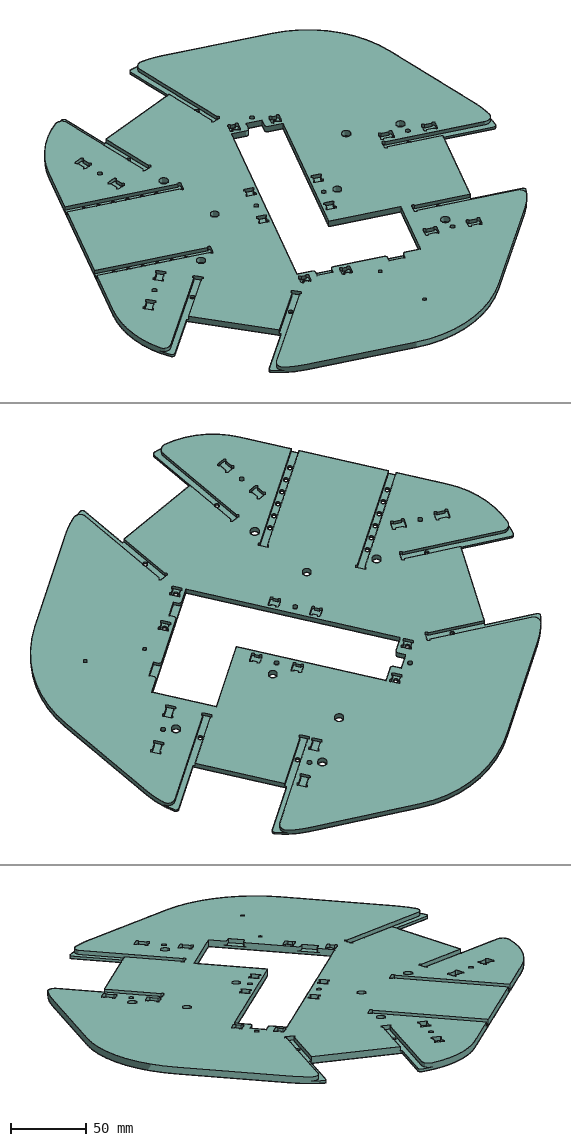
import cadquery as cq
import math

THICKNESS = 5.0
RECESS_DEPTH = 3.0
CUT_HEIGHT = 2 * THICKNESS

SIDE_DISTANCE = 162.8
CORNER_RADIUS = 80.0
SIDE_OVERRUN = 29.3
SHOULDER_RADIUS = 65.0
FRONT_DISTANCE = 135.8
FRONT_HALF_LENGTH = 72.0
FRONT_RADIUS = 66.5
LEDGE_TIP_RADIUS = 2.0
UPPER_TIP_RADIUS = 5.0

NOTCH_ANGLES = (90, 210, 330)
NOTCH_FLOOR = 125.7
NOTCH_HALF_WIDTH = 32.2

SLOT_OFFSET = 33.5
SLOT_WIDTH = 5.2
ARM_SLOT_START = 85.0
FRONT_SLOT_START = 55.0
RELIEF_RADIUS = 1.0

BOLT_DIAMETER = 6.2
HUB_BOLT_DIAMETER = 6.0
SCREW_DIAMETER = 3.2
TAB_SCREW_DIAMETER = 3.3
WIRE_DIAMETER = 2.5
REAR_BOLT = (50.5, 102.2)
FRONT_BOLT = (42.0, -65.0)
LEFT_BOLT = (-51.8, 64.8)
HUB_BOLT_Y = 42.5
WIRE_HOLES = ((123.0, 65.5), (87.5, 45.5))
ARM_SCREW_DISTANCE = 103.0
FRONT_SCREW_START = 72.5
FRONT_SCREW_SPAN = 50.0
FRONT_SCREW_COUNT = 6

WINDOW_HALF_LENGTH = 74.0
WINDOW_BOTTOM = -8.0
WINDOW_TOP = 27.7
WINDOW_LEG_LEFT = 29.3
WINDOW_LEG_TOP = 77.8
WINDOW_MIDDLE = (WINDOW_BOTTOM + WINDOW_TOP) / 2
CONNECTOR_HEIGHT = 11.0
MOUTH_RADIUS = 2.0
LEFT_CONNECTOR_REACH = 7.0
RIGHT_CONNECTOR_REACH = 5.2
UPPER_CONNECTOR_Y = 60.0

TAB_WIDTH = SLOT_WIDTH
LONG_TAB = 9.5
SHORT_TAB = 7.0


def polar(center, radius, angle):
    """Point at the given angle in degrees on a circle."""
    a = math.radians(angle)
    return (center[0] + radius * math.cos(a), center[1] + radius * math.sin(a))


def mirrored(point):
    return (-point[0], point[1])


def outline():
    """Closed outer boundary; its short straight closures lie inside the notches."""
    corner = polar((0, 0), (SIDE_DISTANCE - CORNER_RADIUS) / math.cos(math.radians(30)), 30)
    side_shoulder = (SIDE_DISTANCE - SHOULDER_RADIUS, -SIDE_OVERRUN)
    shoulder_length = math.hypot(*side_shoulder)
    shoulder_angle = math.degrees(math.atan2(side_shoulder[1], side_shoulder[0]))
    rear_shoulder = polar((0, 0), shoulder_length, 60 - shoulder_angle)
    front = (FRONT_HALF_LENGTH, FRONT_RADIUS - FRONT_DISTANCE)

    arcs = (
        (front, FRONT_RADIUS, -90, -35),
        (side_shoulder, SHOULDER_RADIUS, -25, 0),
        (corner, CORNER_RADIUS, 0, 60),
        (rear_shoulder, SHOULDER_RADIUS, 60, 85),
    )
    right_side = []
    for center, radius, start, end in arcs:
        right_side.append([polar(center, radius, a) for a in (start, (start + end) / 2, end)])
    left_side = [[mirrored(p) for p in reversed(arc)] for arc in reversed(right_side)]

    path = cq.Workplane("XY").moveTo(*left_side[-1][-1])
    for start, middle, end in right_side + left_side:
        path = path.lineTo(*start).threePointArc(middle, end)
    return path.close()


def arm_gaps(half_width):
    """Gaps of the given half width outside the notch floors, one about each notch axis."""
    gap = (
        cq.Workplane("XY")
        .center(NOTCH_FLOOR + SIDE_DISTANCE / 2, 0)
        .rect(SIDE_DISTANCE, 2 * half_width)
        .extrude(CUT_HEIGHT)
    )
    gaps = cq.Workplane("XY")
    for angle in NOTCH_ANGLES:
        gaps = gaps.union(gap.rotate((0, 0, 0), (0, 0, 1), angle))
    return gaps


def layer(height, gap_half_width, tip_radius):
    """Outline with notches of the given width and rounded wing tips."""
    clear_of_floor = NOTCH_FLOOR + 3.3
    tolerance = 0.03

    def is_tip(edge):
        center = edge.Center()
        for angle in NOTCH_ANGLES:
            a = math.radians(angle)
            along = center.x * math.cos(a) + center.y * math.sin(a)
            across = center.y * math.cos(a) - center.x * math.sin(a)
            if along > clear_of_floor and abs(abs(across) - gap_half_width) < tolerance:
                return True
        return False

    body = outline().extrude(height).cut(arm_gaps(gap_half_width))
    return body.edges("|Z").filter(is_tip).fillet(tip_radius)


def plate():
    """Plate whose notch edges carry a ledge at slot-floor level."""
    ledge_height = THICKNESS - RECESS_DEPTH
    lower = layer(ledge_height, NOTCH_HALF_WIDTH, LEDGE_TIP_RADIUS)
    upper = layer(RECESS_DEPTH, SLOT_OFFSET + SLOT_WIDTH / 2, UPPER_TIP_RADIUS)
    return lower.union(upper.translate((0, 0, ledge_height)))


def tab_pocket(length, ends=(-1, 1)):
    """Cutter along X, centred on the origin, with round corner reliefs at the chosen ends."""
    cutter = cq.Workplane("XY").rect(length, TAB_WIDTH).extrude(CUT_HEIGHT)
    reliefs = [
        (end * (length / 2 - RELIEF_RADIUS), side * TAB_WIDTH / 2)
        for end in ends
        for side in (-1, 1)
    ]
    return cutter.union(
        cq.Workplane("XY").pushPoints(reliefs).circle(RELIEF_RADIUS).extrude(CUT_HEIGHT)
    )


def recess(body, cutter, point=(0, 0), angle=0):
    """Sink a cutter into the top face after turning it and moving it to a point."""
    turned = cutter.rotate((0, 0, 0), (0, 0, 1), angle)
    return body.cut(turned.translate((*point, THICKNESS - RECESS_DEPTH)))


def drill(body, diameter, points):
    return body.cut(cq.Workplane("XY").pushPoints(points).circle(diameter / 2).extrude(CUT_HEIGHT))


def both_sides(points):
    return list(points) + [mirrored(p) for p in points]


def slots(body):
    """Long slots running outwards, a pair beside each notch and a pair at the front."""
    length = SIDE_DISTANCE
    slot = tab_pocket(length, ends=(-1,))
    runs = [(angle, ARM_SLOT_START) for angle in NOTCH_ANGLES] + [(270, FRONT_SLOT_START)]
    for angle, start in runs:
        for side in (-1, 1):
            placed = slot.translate((start + length / 2, side * SLOT_OFFSET, 0))
            body = recess(body, placed, angle=angle)
    return body


def slot_screws(body):
    """Screw holes through the slot floors."""
    arm_radius = math.hypot(ARM_SCREW_DISTANCE, SLOT_OFFSET)
    arm_turn = math.degrees(math.atan2(SLOT_OFFSET, ARM_SCREW_DISTANCE))
    arm_points = [
        polar((0, 0), arm_radius, angle + turn)
        for angle in NOTCH_ANGLES
        for turn in (-arm_turn, arm_turn)
    ]
    pitch = FRONT_SCREW_SPAN / (FRONT_SCREW_COUNT - 1)
    front_points = [(SLOT_OFFSET, -FRONT_SCREW_START - i * pitch) for i in range(FRONT_SCREW_COUNT)]
    return drill(body, SCREW_DIAMETER, arm_points + both_sides(front_points))


def window(body):
    """L-shaped opening; its leg runs rearwards along the right end."""
    profile = [
        (-WINDOW_HALF_LENGTH, WINDOW_BOTTOM),
        (WINDOW_HALF_LENGTH, WINDOW_BOTTOM),
        (WINDOW_HALF_LENGTH, WINDOW_LEG_TOP),
        (WINDOW_LEG_LEFT, WINDOW_LEG_TOP),
        (WINDOW_LEG_LEFT, WINDOW_TOP),
        (-WINDOW_HALF_LENGTH, WINDOW_TOP),
    ]
    return body.cut(cq.Workplane("XY").polyline(profile).close().extrude(CUT_HEIGHT))


def connector_notch(reach):
    """Notch cutter reaching along +X from x = 0, with a rounded mouth."""
    half = CONNECTOR_HEIGHT / 2
    mouth = half + MOUTH_RADIUS
    upper_round = polar((MOUTH_RADIUS, mouth), MOUTH_RADIUS, 225)
    lower_round = (upper_round[0], -upper_round[1])
    return (
        cq.Workplane("XY")
        .moveTo(-MOUTH_RADIUS, -mouth)
        .lineTo(0, -mouth)
        .threePointArc(lower_round, (MOUTH_RADIUS, -half))
        .lineTo(reach, -half)
        .lineTo(reach, half)
        .lineTo(MOUTH_RADIUS, half)
        .threePointArc(upper_round, (0, mouth))
        .lineTo(-MOUTH_RADIUS, mouth)
        .close()
        .extrude(CUT_HEIGHT)
    )


def connectors(body):
    """A through notch at the left end of the window and two blind ones at the right."""
    left = connector_notch(LEFT_CONNECTOR_REACH).rotate((0, 0, 0), (0, 0, 1), 180)
    body = body.cut(left.translate((-WINDOW_HALF_LENGTH, WINDOW_MIDDLE, 0)))
    right = connector_notch(RIGHT_CONNECTOR_REACH)
    for y in (WINDOW_MIDDLE, UPPER_CONNECTOR_Y):
        body = recess(body, right, (WINDOW_HALF_LENGTH, y))
    screw_x = -85.5
    return drill(body, SCREW_DIAMETER, [(screw_x, WINDOW_MIDDLE)])


def window_tabs(body):
    """Short tab pockets and screws around the window."""
    tab = tab_pocket(SHORT_TAB)
    end_x = 79.8
    end_offset = 14.3
    end_tabs = both_sides([(end_x, WINDOW_MIDDLE + s * end_offset) for s in (-1, 1)])
    for point in end_tabs:
        body = recess(body, tab, point, 90)
    body = drill(body, SCREW_DIAMETER, end_tabs)

    rim_x = 14.3
    rim_offset = 23.5
    rim_rows = [WINDOW_MIDDLE + s * rim_offset for s in (-1, 1)]
    for point in both_sides([(rim_x, y) for y in rim_rows]):
        body = recess(body, tab, point)
    return drill(body, SCREW_DIAMETER, [(0, y) for y in rim_rows])


def rear_tabs(body):
    """Tab pockets and screws on the rear wings, both shifted the same way from the bolts."""
    tab_shift = 8.0
    tab_middle = 104.8
    tab_offset = 15.0
    tab = tab_pocket(LONG_TAB)
    for side in (-1, 1):
        x = side * REAR_BOLT[0] + tab_shift
        for end in (-1, 1):
            body = recess(body, tab, (x, tab_middle + end * tab_offset), 90)
        body = drill(body, SCREW_DIAMETER, [(x, tab_middle)])
    return body


def front_tabs(body):
    """Tab pockets on the front wings, in line with the slots beside the front notches."""
    middle = (61.5, -103.5)
    tab_offset = 15.0
    tab = tab_pocket(LONG_TAB)
    for end in (0, 180):
        point = polar(middle, tab_offset, NOTCH_ANGLES[2] + end)
        body = recess(body, tab, point, NOTCH_ANGLES[2])
        body = recess(body, tab, mirrored(point), NOTCH_ANGLES[1])
    return drill(body, TAB_SCREW_DIAMETER, both_sides([middle]))


def bolts_and_wires(body):
    """Bolt holes of the hub and wings, and two small holes on the right wing."""
    body = drill(body, BOLT_DIAMETER, both_sides([REAR_BOLT, FRONT_BOLT]) + [LEFT_BOLT])
    body = drill(body, HUB_BOLT_DIAMETER, [(0, HUB_BOLT_Y), (0, -HUB_BOLT_Y)])
    return drill(body, WIRE_DIAMETER, WIRE_HOLES)


result = plate()
for add_feature in (
    slots,
    slot_screws,
    window,
    connectors,
    window_tabs,
    rear_tabs,
    front_tabs,
    bolts_and_wires,
):
    result = add_feature(result)